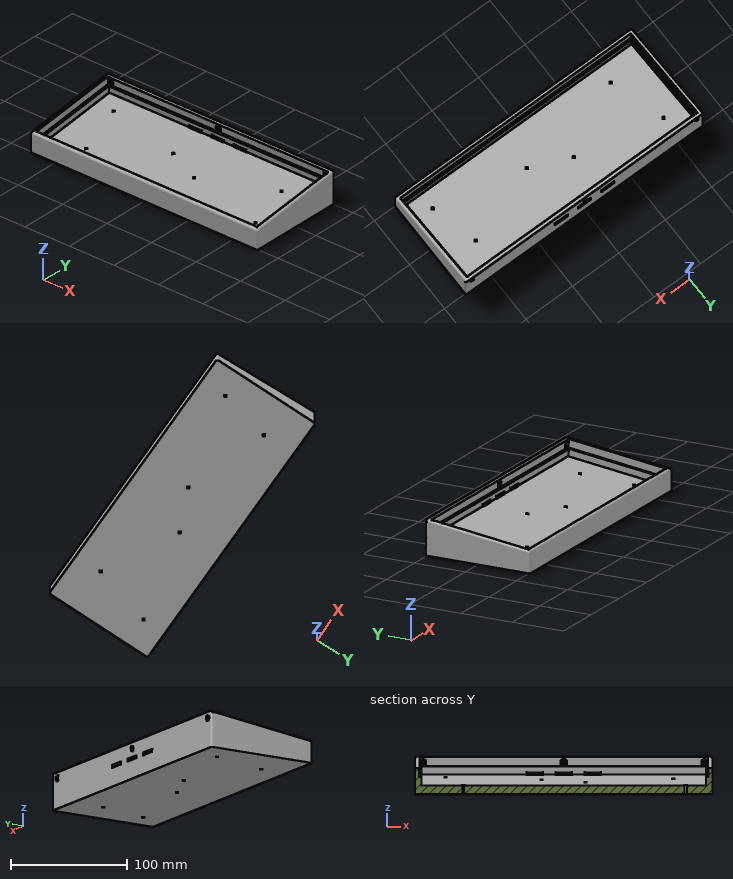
import cadquery as cq
import math

WIDTH = 256.0
TILT = 7.0
TOP_LENGTH = 103.5
DEPTH = TOP_LENGTH * math.cos(math.radians(TILT))
REAR_HEIGHT = 32.58
FRONT_HEIGHT = REAR_HEIGHT - DEPTH * math.tan(math.radians(TILT))
EDGE_RADIUS = 2.0

RIM = 4.0
LEDGE = 2.0
LEDGE_DEPTH = 8.0
FLOOR_DEPTH = 15.0

SCREW_DIAMETER = 3.2
HEAD_DIAMETER = 5.7
HEAD_DEPTH = 3.0
SCREW_HEIGHT = 27.4
SCREW_OFFSET = 121.0

RECESS_WIDTH = 14.0
RECESS_HEIGHT = 2.5
RECESS_DROP = 0.5
RECESS_DEPTH = 4.0
RECESS_PITCH = 25.0

MOUNT_DIAMETER = 2.0
MOUNT_POINTS = [
    (-101.6, 29.0),
    (-19.1, 10.5),
    (18.7, -6.5),
    (94.2, 20.6),
    (-86.3, -25.8),
    (104.8, -26.7),
]


def on_slope(shape):
    """Move a shape from a level frame, origin at the rear top edge, onto the sloping top."""
    tilted = shape.rotate((0, 0, 0), (1, 0, 0), TILT)
    return tilted.translate((0, DEPTH / 2, REAR_HEIGHT))


def wedge():
    """Solid wedge with rounded upright corners and rounded front and side top edges."""
    overrun = 4 * EDGE_RADIUS
    overrun_height = REAR_HEIGHT + overrun * math.tan(math.radians(TILT))
    profile = [
        (-DEPTH / 2, 0),
        (DEPTH / 2 + overrun, 0),
        (DEPTH / 2 + overrun, overrun_height),
        (-DEPTH / 2, FRONT_HEIGHT),
    ]
    block = cq.Workplane("YZ").polyline(profile).close().extrude(WIDTH / 2, both=True)
    uprights = block.edges("|Z").edges("<Y")
    slope = block.faces(">Z").edges("not >Y")
    block = block.newObject(uprights.vals() + slope.vals()).fillet(EDGE_RADIUS)
    outline = cq.Workplane("XY").rect(WIDTH, DEPTH).extrude(overrun_height)
    return block.intersect(outline.edges("|Z").fillet(EDGE_RADIUS))


def pocket_step(margin, depth):
    """Rectangular pocket inset from the outline by a margin and sunk below the sloping top."""
    length = TOP_LENGTH - 2 * margin
    step = cq.Workplane("XY").box(WIDTH - 2 * margin, length, 2 * depth)
    return on_slope(step.translate((0, -TOP_LENGTH / 2, 0)))


def rear_screw_hole(x):
    start = cq.Vector(x, DEPTH / 2 - RIM + HEAD_DEPTH, SCREW_HEIGHT)
    shank = cq.Solid.makeCylinder(SCREW_DIAMETER / 2, RIM, start, cq.Vector(0, 1, 0))
    head = cq.Solid.makeCylinder(HEAD_DIAMETER / 2, RIM, start, cq.Vector(0, -1, 0))
    return cq.Workplane(shank.fuse(head))


def rear_recess(x):
    inner_wall = -(RIM + LEDGE)
    recess = cq.Workplane("XY").box(
        RECESS_WIDTH, RECESS_DEPTH, RECESS_HEIGHT, centered=(True, False, False)
    )
    return on_slope(recess.translate((x, inner_wall, -FLOOR_DEPTH - RECESS_DROP)))


def mount_holes():
    points = cq.Workplane("XY").pushPoints(MOUNT_POINTS)
    return points.circle(MOUNT_DIAMETER / 2).extrude(REAR_HEIGHT)


result = wedge()
result = result.cut(pocket_step(RIM, LEDGE_DEPTH))
result = result.cut(pocket_step(RIM + LEDGE, FLOOR_DEPTH))
for screw_x in (-SCREW_OFFSET, 0, SCREW_OFFSET):
    result = result.cut(rear_screw_hole(screw_x))
for recess_x in (-RECESS_PITCH, 0, RECESS_PITCH):
    result = result.cut(rear_recess(recess_x))
result = result.cut(mount_holes())